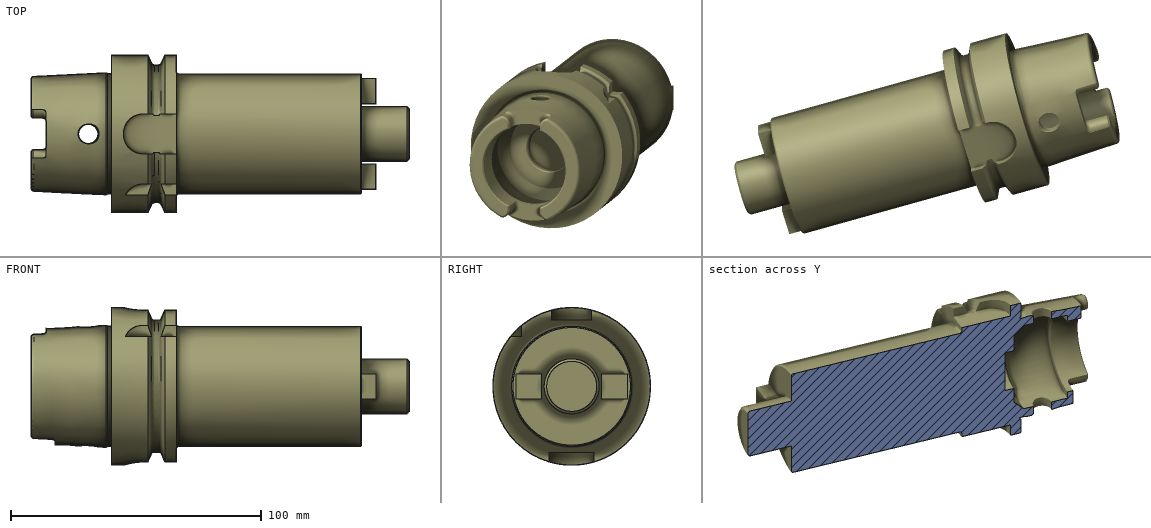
import cadquery as cq
import math

SHANK_LENGTH = 32.0
FLANGE_LENGTH = 26.0
BODY_END = 100.0
PILOT_LENGTH = 19.0
MOUTH_X = -SHANK_LENGTH
PILOT_END = BODY_END + PILOT_LENGTH

TAPER_SLOPE = 0.05
GAUGE_RADIUS = 24.5
TAPER_BACK_X = -2.2
MOUTH_ROUND = 1.1
NECK_RADIUS = 24.1
NECK_RUN_IN = 0.7
FACE_GROOVE_RADIUS = 25.3
FACE_GROOVE_DEPTH = 0.7

BORE_RADIUS = 17.0
BORE_LENGTH = 12.0
BORE_MOUTH_CHAMFER = 0.5
UNDERCUT_RADIUS = 20.0
UNDERCUT_END_X = -1.0
BORE_FLOOR_RADIUS = 15.9
BORE_FLOOR_X = UNDERCUT_END_X + UNDERCUT_RADIUS - BORE_FLOOR_RADIUS
POCKET_RADIUS = 9.0
POCKET_DEPTH = 4.0
POCKET_CHAMFER = 0.4

CLAMP_HOLE_X = -9.2
CLAMP_HOLE_RADIUS = 3.85
CLAMP_HOLE_CHAMFER = 0.45

DRIVE_SLOT_WIDTH = 12.5
DRIVE_SLOT_LIP_RADIUS = 3.4
DRIVE_SLOT_LIP_Z = 20.8
DRIVE_SLOT_DEPTH_TOP = 6.0
DRIVE_SLOT_DEPTH_BOTTOM = 9.5
DRIVE_SLOT_CORNER_RADIUS = 1.4
DRIVE_SLOT_FLARE = 0.7

FLANGE_RADIUS = 31.5
GROOVE_X = 18.0
GROOVE_WIDTH = 6.8
GROOVE_FLOOR_RADIUS = 27.5
GROOVE_HALF_ANGLE = math.radians(25)
GROOVE_FILLET = 1.2

KEYWAY_TIP_X = 4.8
KEYWAY_WIDTH_TOP = 16.0
KEYWAY_WIDTH_BOTTOM = 18.0
KEYWAY_FLOOR_Z = 26.5
NOTCH_OFFSET = 20.0
NOTCH_END_RADIUS = KEYWAY_WIDTH_TOP / 2
NOTCH_CENTRE_X = KEYWAY_TIP_X + NOTCH_END_RADIUS

BODY_RADIUS = 24.0
BODY_ROOT_FILLET = 0.9
BODY_CHAMFER = 0.5
PILOT_RADIUS = 11.0
PILOT_CHAMFER = 1.0
KEY_WIDTH = 10.0
KEY_HEIGHT = 5.6
KEY_INNER_Y = 12.0
KEY_OUTER_Y = 22.2

TOOL_REACH = FLANGE_RADIUS + 5.0


def taper_radius(x):
    return GAUGE_RADIUS + TAPER_SLOPE * x


def revolve_about_x(profile):
    return profile.close().revolve(360, (0, 0, 0), (1, 0, 0))


def outer_body():
    """Shank, flange, body and pilot as one turned solid, without the gripper groove."""
    round_x = MOUTH_X + MOUTH_ROUND
    round_radius = taper_radius(round_x)
    round_start = round_radius - MOUTH_ROUND
    round_mid = MOUTH_ROUND * math.sqrt(0.5)
    root_x = FLANGE_LENGTH + BODY_ROOT_FILLET
    root_radius = BODY_RADIUS + BODY_ROOT_FILLET
    root_mid = BODY_ROOT_FILLET * math.sqrt(0.5)
    profile = (
        cq.Workplane("XY")
        .moveTo(MOUTH_X, 0)
        .lineTo(MOUTH_X, round_start)
        .threePointArc((round_x - round_mid, round_start + round_mid), (round_x, round_radius))
        .lineTo(TAPER_BACK_X, taper_radius(TAPER_BACK_X))
        .lineTo(TAPER_BACK_X + NECK_RUN_IN, NECK_RADIUS)
        .lineTo(FACE_GROOVE_DEPTH, NECK_RADIUS)
        .lineTo(0, FACE_GROOVE_RADIUS)
        .lineTo(0, FLANGE_RADIUS)
        .lineTo(FLANGE_LENGTH, FLANGE_RADIUS)
        .lineTo(FLANGE_LENGTH, root_radius)
        .threePointArc((root_x - root_mid, root_radius - root_mid), (root_x, BODY_RADIUS))
        .lineTo(BODY_END - BODY_CHAMFER, BODY_RADIUS)
        .lineTo(BODY_END, BODY_RADIUS - BODY_CHAMFER)
        .lineTo(BODY_END, PILOT_RADIUS)
        .lineTo(PILOT_END - PILOT_CHAMFER, PILOT_RADIUS)
        .lineTo(PILOT_END, PILOT_RADIUS - PILOT_CHAMFER)
        .lineTo(PILOT_END, 0)
    )
    return revolve_about_x(profile)


def gripper_groove():
    """Ring with the V section of the groove, rounded at both floor corners."""
    rim_half = GROOVE_WIDTH / 2
    depth = FLANGE_RADIUS - GROOVE_FLOOR_RADIUS
    floor_half = rim_half - depth * math.tan(GROOVE_HALF_ANGLE)
    tangent_length = GROOVE_FILLET * math.tan(math.pi / 4 - GROOVE_HALF_ANGLE / 2)
    flat_half = floor_half - tangent_length
    wall_dx = tangent_length * math.sin(GROOVE_HALF_ANGLE)
    wall_dr = tangent_length * math.cos(GROOVE_HALF_ANGLE)
    mid_angle = math.pi / 4 - GROOVE_HALF_ANGLE / 2
    mid_dx = GROOVE_FILLET * math.sin(mid_angle)
    mid_dr = GROOVE_FILLET * (1 - math.cos(mid_angle))
    floor = GROOVE_FLOOR_RADIUS

    def at(offset, radius):
        return (GROOVE_X + offset, radius)

    profile = (
        cq.Workplane("XY")
        .moveTo(*at(-rim_half, FLANGE_RADIUS))
        .lineTo(*at(-floor_half - wall_dx, floor + wall_dr))
        .threePointArc(at(-flat_half - mid_dx, floor + mid_dr), at(-flat_half, floor))
        .lineTo(*at(flat_half, floor))
        .threePointArc(at(flat_half + mid_dx, floor + mid_dr), at(floor_half + wall_dx, floor + wall_dr))
        .lineTo(*at(rim_half, FLANGE_RADIUS))
        .lineTo(*at(rim_half, TOOL_REACH))
        .lineTo(*at(-rim_half, TOOL_REACH))
    )
    return revolve_about_x(profile)


def bore():
    """Chamfered bore, wider undercut with conical end, and a blind pocket in the floor."""
    bore_end_x = MOUTH_X + BORE_LENGTH
    profile = cq.Workplane("XY").polyline([
        (MOUTH_X, 0),
        (MOUTH_X, BORE_RADIUS + BORE_MOUTH_CHAMFER),
        (MOUTH_X + BORE_MOUTH_CHAMFER, BORE_RADIUS),
        (bore_end_x, BORE_RADIUS),
        (bore_end_x, UNDERCUT_RADIUS),
        (UNDERCUT_END_X, UNDERCUT_RADIUS),
        (BORE_FLOOR_X, BORE_FLOOR_RADIUS),
        (BORE_FLOOR_X, POCKET_RADIUS + POCKET_CHAMFER),
        (BORE_FLOOR_X + POCKET_CHAMFER, POCKET_RADIUS),
        (BORE_FLOOR_X + POCKET_DEPTH, POCKET_RADIUS),
        (BORE_FLOOR_X + POCKET_DEPTH, 0),
    ])
    return revolve_about_x(profile)


def clamp_hole():
    """Hole along +Z from the axis, chamfered where it leaves the taper."""
    surface_z = taper_radius(CLAMP_HOLE_X)
    profile = cq.Workplane("XZ").polyline([
        (0, 0),
        (CLAMP_HOLE_RADIUS, 0),
        (CLAMP_HOLE_RADIUS, surface_z - CLAMP_HOLE_CHAMFER),
        (CLAMP_HOLE_RADIUS + CLAMP_HOLE_CHAMFER, surface_z),
        (CLAMP_HOLE_RADIUS + CLAMP_HOLE_CHAMFER, TOOL_REACH),
        (0, TOOL_REACH),
    ])
    hole = profile.close().revolve(360, (0, 0, 0), (0, 1, 0))
    return hole.translate((CLAMP_HOLE_X, 0, 0))


def drive_slot_section(x, widening):
    """Closed slot section at x: straight walls that flare outwards in round lips."""
    half = DRIVE_SLOT_WIDTH / 2 + widening
    lip = DRIVE_SLOT_LIP_RADIUS - widening
    lip_end_z = DRIVE_SLOT_LIP_Z - widening
    lip_start_z = lip_end_z - lip
    outer = half + lip
    mid_y = outer - lip * math.sqrt(0.5)
    mid_z = lip_start_z + lip * math.sqrt(0.5)
    return (
        cq.Workplane("YZ", origin=(x, 0, 0))
        .moveTo(-half, 0)
        .lineTo(half, 0)
        .lineTo(half, lip_start_z)
        .threePointArc((mid_y, mid_z), (outer, lip_end_z))
        .lineTo(outer, TOOL_REACH)
        .lineTo(-outer, TOOL_REACH)
        .lineTo(-outer, lip_end_z)
        .threePointArc((-mid_y, mid_z), (-half, lip_start_z))
        .close()
    )


def drive_slot(depth):
    """Slot on the +Z side of the mouth, with rounded inner corners and a flared entry."""
    slot = drive_slot_section(MOUTH_X, 0).extrude(depth)
    slot = slot.faces(">X").edges().fillet(DRIVE_SLOT_CORNER_RADIUS)
    flare_start = drive_slot_section(MOUTH_X, DRIVE_SLOT_FLARE).wires().val()
    flare_end = drive_slot_section(MOUTH_X + DRIVE_SLOT_FLARE, 0).wires().val()
    return slot.union(cq.Workplane(cq.Solid.makeLoft([flare_start, flare_end], True)))


def keyway(width):
    """Round-ended keyway on the +Z side, open towards +X."""
    half = width / 2
    centre_x = KEYWAY_TIP_X + half
    return (
        cq.Workplane("XY", origin=(0, 0, KEYWAY_FLOOR_Z))
        .moveTo(centre_x, half)
        .threePointArc((KEYWAY_TIP_X, 0), (centre_x, -half))
        .lineTo(FLANGE_LENGTH, -half)
        .lineTo(FLANGE_LENGTH, half)
        .close()
        .extrude(TOOL_REACH - KEYWAY_FLOOR_Z)
    )


def index_notch():
    """Corner notch in the -Y, +Z quarter of the flange with a rounded end."""
    wall_y = -NOTCH_OFFSET
    end_x = NOTCH_CENTRE_X - NOTCH_END_RADIUS
    arc_mid = NOTCH_END_RADIUS * math.sqrt(0.5)
    arc_centre_y = wall_y - NOTCH_END_RADIUS
    return (
        cq.Workplane("XY", origin=(0, 0, NOTCH_OFFSET))
        .moveTo(NOTCH_CENTRE_X, wall_y)
        .threePointArc((NOTCH_CENTRE_X - arc_mid, arc_centre_y + arc_mid), (end_x, arc_centre_y))
        .lineTo(end_x, -TOOL_REACH)
        .lineTo(FLANGE_LENGTH, -TOOL_REACH)
        .lineTo(FLANGE_LENGTH, wall_y)
        .close()
        .extrude(TOOL_REACH - NOTCH_OFFSET)
    )


def drive_key():
    """Key block on the +Y side of the body's end face."""
    key = cq.Workplane("XY").box(
        KEY_HEIGHT, KEY_OUTER_Y - KEY_INNER_Y, KEY_WIDTH, centered=(False, False, True)
    )
    return key.translate((BODY_END, KEY_INNER_Y, 0))


def on_opposite_side(shape):
    """Copy of a shape turned half a revolution about the X axis."""
    return shape.rotate((0, 0, 0), (1, 0, 0), 180)


holder = outer_body().cut(gripper_groove())
holder = holder.union(drive_key()).union(on_opposite_side(drive_key()))
holder = holder.cut(bore())
holder = holder.cut(clamp_hole()).cut(on_opposite_side(clamp_hole()))

holder = holder.cut(drive_slot(DRIVE_SLOT_DEPTH_TOP))
holder = holder.cut(on_opposite_side(drive_slot(DRIVE_SLOT_DEPTH_BOTTOM)))

holder = holder.cut(keyway(KEYWAY_WIDTH_TOP)).cut(on_opposite_side(keyway(KEYWAY_WIDTH_BOTTOM)))
result = holder.cut(index_notch())